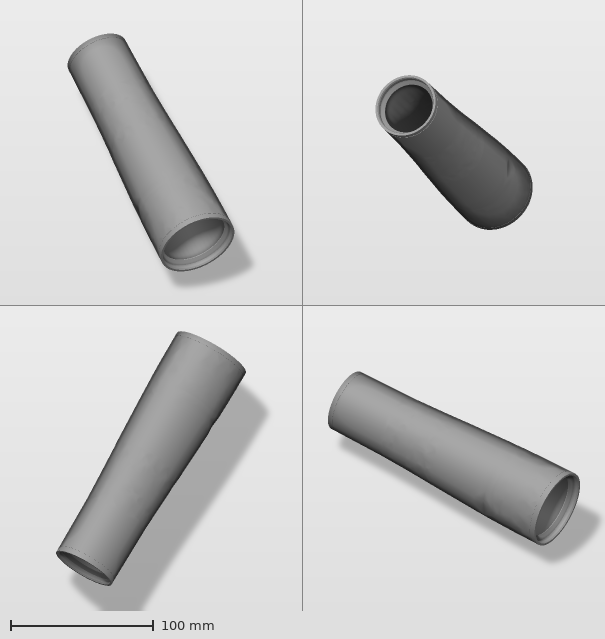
import cadquery as cq

length = 180.0
small_radius = 22.5
large_radius = 27.99
wall = 1.6

collar_length = 3.6
groove_width = 0.5
groove_depth = 0.2

mouth_chamfer_depth = 1.0
mouth_chamfer_height = 0.5
lead_in_start = 4.0
lip_crest_start = 6.5
lip_end = 7.0
lip_height = 3.0

outer_curve_start = collar_length + groove_width
bore_curve_start = 13.0
middle = length / 2
middle_radius = (small_radius + large_radius) / 2
middle_slope = 2 * (middle_radius - small_radius) / (middle - outer_curve_start)


def revolve_about_axis(profile):
    """Turn a closed profile, with X along the tube and Y as radius, into a solid."""
    return profile.revolve(360, (0, 0, 0), (1, 0, 0))


def curved_body(level_length, inset):
    """Solid of revolution with level ends joined by a smooth S curve."""
    level = (1, 0)
    sloped = (1, middle_slope)
    small_end = (level_length, small_radius - inset)
    center = (middle, middle_radius - inset)
    large_end = (length - level_length, large_radius - inset)
    profile = (
        cq.Workplane("XY")
        .lineTo(0, small_radius - inset)
        .lineTo(*small_end)
        .spline([center], tangents=[level, sloped], includeCurrent=True)
        .spline([large_end], tangents=[sloped, level], includeCurrent=True)
        .lineTo(length, large_radius - inset)
        .lineTo(length, 0)
        .close()
    )
    return revolve_about_axis(profile)


def ring(end_x, direction, section):
    """Revolve (depth, radius) points, with depth measured inward from an end face."""
    points = [(end_x + direction * depth, radius) for depth, radius in section]
    return revolve_about_axis(cq.Workplane("XY").polyline(points).close())


def inner_lip(end_x, direction, outer_radius):
    """Ring with a chamfered mouth, a conical lead-in, a narrow crest and a flat back."""
    bore_radius = outer_radius - wall
    mouth_radius = bore_radius - mouth_chamfer_height
    crest_radius = bore_radius - lip_height
    embedded_radius = outer_radius - wall / 2
    section = [
        (0, embedded_radius),
        (0, bore_radius),
        (mouth_chamfer_depth, mouth_radius),
        (lead_in_start, mouth_radius),
        (lip_crest_start, crest_radius),
        (lip_end, crest_radius),
        (lip_end, embedded_radius),
    ]
    return ring(end_x, direction, section)


def collar_groove(end_x, direction, outer_radius):
    """Shallow square groove cutter between a collar and the body."""
    floor_radius = outer_radius - groove_depth
    clear_radius = outer_radius + groove_depth
    groove_end = collar_length + groove_width
    section = [
        (collar_length, floor_radius),
        (collar_length, clear_radius),
        (groove_end, clear_radius),
        (groove_end, floor_radius),
    ]
    return ring(end_x, direction, section)


result = curved_body(outer_curve_start, 0).cut(curved_body(bore_curve_start, wall))
for end_x, direction, outer_radius in ((0, 1, small_radius), (length, -1, large_radius)):
    result = result.union(inner_lip(end_x, direction, outer_radius))
    result = result.cut(collar_groove(end_x, direction, outer_radius))